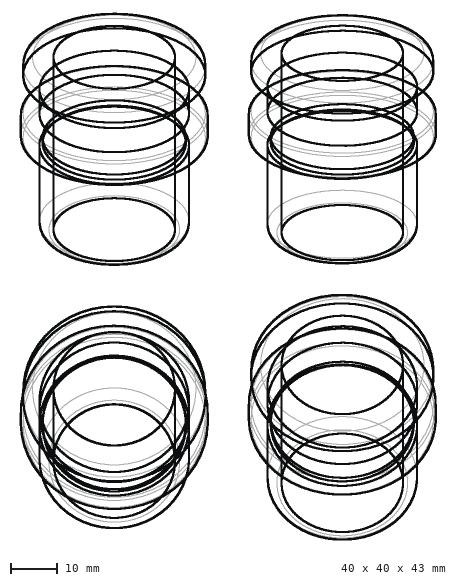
import cadquery as cq
import math

height = 43.0
bore_radius = 13.0
body_radius = 16.0
head_radius = 19.5
flange_radius = 20.0

flange_bottom = 23.0
flange_top = 29.0
neck_top = 35.0

end_rounding = 2.0
flange_rounding = 0.5
groove_depth = 0.7
groove_width = 1.3
groove_bottom = flange_bottom - groove_width
groove_radius = body_radius - groove_depth
head_bottom = neck_top + head_radius - body_radius


def arc_middle(radius, level, rounding, direction):
    """Midpoint of the arc rounding an outer corner; direction is +1 for a top corner, -1 for a bottom one."""
    inset = rounding * (1 - math.sqrt(0.5))
    return (radius - inset, level - direction * inset)


section = (
    cq.Workplane("XZ")
    .moveTo(bore_radius, 0)
    .lineTo(body_radius - end_rounding, 0)
    .threePointArc(arc_middle(body_radius, 0, end_rounding, -1), (body_radius, end_rounding))
    .lineTo(body_radius, groove_bottom - groove_depth)
    .lineTo(groove_radius, groove_bottom)
    .lineTo(groove_radius, flange_bottom)
    .lineTo(flange_radius - flange_rounding, flange_bottom)
    .threePointArc(
        arc_middle(flange_radius, flange_bottom, flange_rounding, -1),
        (flange_radius, flange_bottom + flange_rounding),
    )
    .lineTo(flange_radius, flange_top - flange_rounding)
    .threePointArc(
        arc_middle(flange_radius, flange_top, flange_rounding, 1),
        (flange_radius - flange_rounding, flange_top),
    )
    .lineTo(body_radius, flange_top)
    .lineTo(body_radius, neck_top)
    .lineTo(head_radius, head_bottom)
    .lineTo(head_radius, height - end_rounding)
    .threePointArc(
        arc_middle(head_radius, height, end_rounding, 1),
        (head_radius - end_rounding, height),
    )
    .lineTo(bore_radius, height)
    .close()
)

result = section.revolve(360, (0, 0, 0), (0, 1, 0))